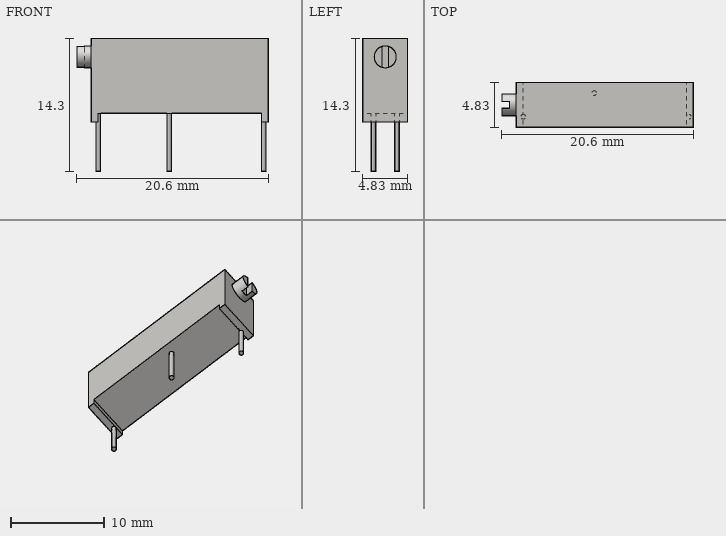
import cadquery as cq

body_length = 19.05
body_width = 4.83
body_height = 9.0
foot_length = 0.762
foot_height = 0.94

screw_diameter = 2.36
screw_length = 1.52
screw_drop = 2.0
slot_width = 0.7
slot_depth = 0.8

pin_diameter = 0.51
pin_length = 5.31
pin_inset = 0.762
pin_pitch = 2.54
middle_pin_steps = 3
last_pin_steps = 7
row_offset = pin_pitch / 2
first_pin_x = pin_inset
middle_pin_x = first_pin_x + middle_pin_steps * pin_pitch
last_pin_x = first_pin_x + last_pin_steps * pin_pitch
pin_positions = [
    (first_pin_x, -row_offset),
    (middle_pin_x, row_offset),
    (last_pin_x, -row_offset),
]


def make_housing():
    """Block with its underside relieved between the two end feet."""
    block = cq.Workplane("XY").box(body_length, body_width, body_height, centered=(False, True, False))
    relief_length = body_length - 2 * foot_length
    relief = (
        cq.Workplane("XY")
        .box(relief_length, body_width, foot_height, centered=(False, True, False))
        .translate((foot_length, 0, 0))
    )
    return block.cut(relief)


def make_screw():
    """Screw head projecting from the end face, with a vertical driver slot."""
    axis_height = body_height - screw_drop
    head = (
        cq.Workplane("YZ", origin=(-screw_length, 0, axis_height))
        .circle(screw_diameter / 2)
        .extrude(screw_length)
    )
    slot = (
        cq.Workplane("XY")
        .box(slot_depth, slot_width, screw_diameter, centered=(False, True, True))
        .translate((-screw_length, 0, axis_height))
    )
    return head.cut(slot)


def make_pins():
    """Round pins rising from their tips to the relieved underside."""
    return (
        cq.Workplane("XY", origin=(0, 0, -pin_length))
        .pushPoints(pin_positions)
        .circle(pin_diameter / 2)
        .extrude(pin_length + foot_height)
    )


result = make_housing().union(make_screw()).union(make_pins())